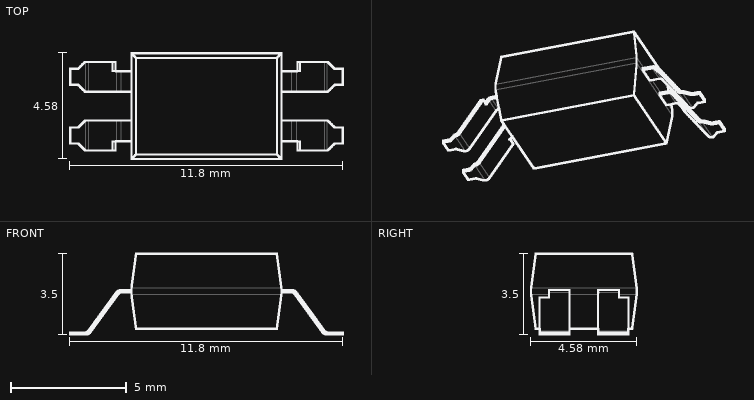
import cadquery as cq
import math

body_length = 6.5
body_width = 4.58
overall_height = 3.5
body_standoff = 0.25
band_height = 0.28
taper_inset = 0.2

body_height = overall_height - body_standoff
body_mid_z = body_standoff + body_height / 2
half_height = (body_height - band_height) / 2
taper_angle = math.degrees(math.atan(taper_inset / half_height))

overall_length = 11.8
lead_pitch = 2.54
lead_thickness = 0.1
lead_width = 1.3
neck_width = 0.9
notch_floor_z = 1.6
tip_width = 0.7
tip_length = 0.35
taper_length = 0.3
foot_corner_distance = 0.75
shoulder_corner_distance = 2.08
inside_bend_radius = 0.15
lead_embedding = 0.3

outside_bend_radius = inside_bend_radius + lead_thickness
tip_x = -overall_length / 2
lead_end_x = -body_length / 2 + lead_embedding
shoulder_bottom_z = body_mid_z - lead_thickness / 2
shoulder_top_z = shoulder_bottom_z + lead_thickness


def body_half(direction):
    """Tapered half of the body, growing from the band up (+1) or down (-1)."""
    start_z = body_mid_z + direction * band_height / 2
    return (
        cq.Workplane("XY")
        .workplane(offset=start_z)
        .rect(body_length, body_width)
        .extrude(direction * half_height, taper=taper_angle)
    )


def make_body():
    band = cq.Workplane("XY").box(body_length, body_width, band_height)
    band = band.translate((0, 0, body_mid_z))
    return band.union(body_half(1)).union(body_half(-1))


def bent_strip():
    """Full-width lead strip with its foot, slope and shoulder, centred on Y = 0."""
    foot_corner_x = tip_x + foot_corner_distance
    shoulder_corner_x = tip_x + shoulder_corner_distance
    slope_angle = math.atan2(shoulder_bottom_z, shoulder_corner_x - foot_corner_x)
    mitre = lead_thickness * math.tan(slope_angle / 2)

    strip = (
        cq.Workplane("XZ")
        .moveTo(tip_x, 0)
        .lineTo(foot_corner_x + mitre, 0)
        .lineTo(shoulder_corner_x + mitre, shoulder_bottom_z)
        .lineTo(lead_end_x, shoulder_bottom_z)
        .lineTo(lead_end_x, shoulder_top_z)
        .lineTo(shoulder_corner_x, shoulder_top_z)
        .lineTo(foot_corner_x, lead_thickness)
        .lineTo(tip_x, lead_thickness)
        .close()
        .extrude(lead_width / 2, both=True)
    )

    def round_corner(solid, x, z, radius):
        corner = cq.selectors.NearestToPointSelector((x, 0, z))
        return solid.edges("|Y").edges(corner).fillet(radius)

    strip = round_corner(strip, foot_corner_x + mitre, 0, outside_bend_radius)
    strip = round_corner(strip, foot_corner_x, lead_thickness, inside_bend_radius)
    strip = round_corner(strip, shoulder_corner_x, shoulder_top_z, outside_bend_radius)
    return round_corner(strip, shoulder_corner_x + mitre, shoulder_bottom_z, inside_bend_radius)


def tip_trim(side):
    """Cutter that narrows the foot to the tip on one Y side (+1 or -1)."""
    return (
        cq.Workplane("XY")
        .moveTo(tip_x, side * tip_width / 2)
        .lineTo(tip_x + tip_length, side * tip_width / 2)
        .lineTo(tip_x + tip_length + taper_length, side * lead_width / 2)
        .lineTo(tip_x, side * lead_width / 2)
        .close()
        .extrude(lead_thickness)
    )


def make_lead():
    """Lead on the -X, +Y corner; its neck is notched on the outer (+Y) side."""
    neck_notch = cq.Workplane("XY").box(
        lead_end_x - tip_x,
        lead_width - neck_width,
        shoulder_top_z - notch_floor_z,
        centered=False,
    )
    neck_notch = neck_notch.translate((tip_x, neck_width - lead_width / 2, notch_floor_z))
    lead = bent_strip().cut(neck_notch)
    for side in (1, -1):
        lead = lead.cut(tip_trim(side))
    return lead.translate((0, lead_pitch / 2, 0))


corner_lead = make_lead()
lead_pair = corner_lead.union(corner_lead.mirror("XZ"))
result = make_body().union(lead_pair).union(lead_pair.mirror("YZ"))